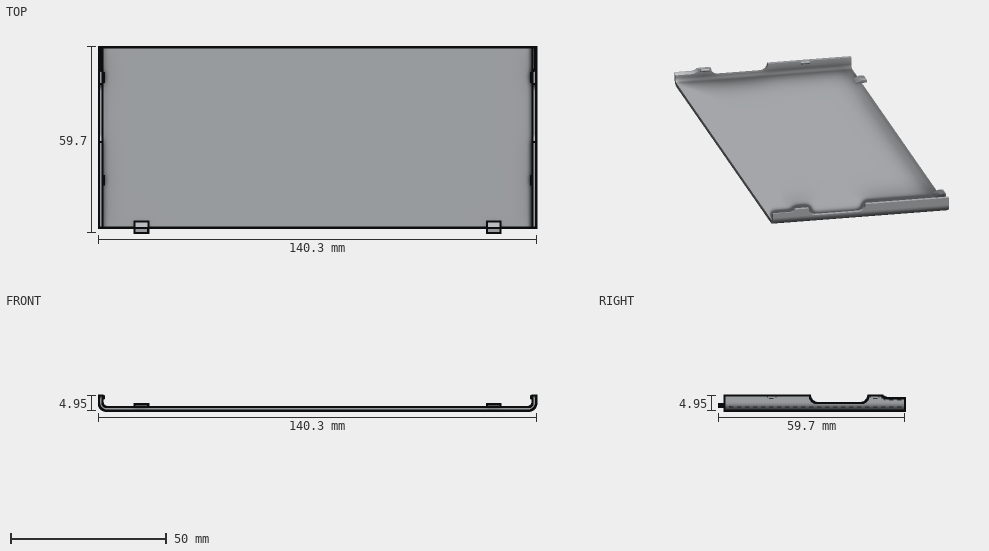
import cadquery as cq
import math

width = 140.34
total_depth = 59.69
wall_height = 4.95
thickness = 1.27
bend_radius = 2.54

tab_reach = 1.69
tab_width = 4.45
tab_height = 0.92
tab_ramp = 2.1
tab_centre_x = 56.5

low_height = 4.1
low_end = 5.5
crest_start = 7.4
crest_end = 11.8
notch_end = 30.5

land_width = 0.5
bevel_drop = 0.7
sweep_angle = math.radians(60)

detent_radius = 0.45
detent_length = 2.8
detent_height = 4.35
detent_setbacks = (9.75, 42.75)

half_width = width / 2
half_depth = total_depth / 2
back_y = half_depth
front_y = tab_reach - half_depth
sheet_depth = back_y - front_y
notch_radius = wall_height - bend_radius


def make_channel():
    """Flat sheet with a wall bent up along each X end."""
    outer = (
        cq.Workplane("XY")
        .box(width, sheet_depth, wall_height, centered=(True, False, False))
        .edges("|Y and <Z")
        .fillet(bend_radius)
    )
    inner = (
        cq.Workplane("XY")
        .workplane(offset=thickness)
        .box(width - 2 * thickness, sheet_depth, wall_height, centered=(True, False, False))
        .edges("|Y and <Z")
        .fillet(bend_radius - thickness)
    )
    return outer.cut(inner).translate((0, front_y, 0))


def make_wall_outline():
    """Side profile shared by both walls, extruded across the full width."""
    arc_inset = notch_radius * (1 - 0.5**0.5)
    crest_y = back_y - crest_end
    notch_y = back_y - notch_end + notch_radius
    return (
        cq.Workplane("YZ")
        .moveTo(front_y, 0)
        .lineTo(back_y, 0)
        .lineTo(back_y, wall_height)
        .lineTo(crest_y, wall_height)
        .threePointArc(
            (crest_y - arc_inset, bend_radius + arc_inset),
            (crest_y - notch_radius, bend_radius),
        )
        .lineTo(notch_y, bend_radius)
        .threePointArc(
            (notch_y - notch_radius + arc_inset, bend_radius + arc_inset),
            (notch_y - notch_radius, wall_height),
        )
        .lineTo(front_y, wall_height)
        .close()
        .extrude(half_width, both=True)
    )


def make_lead_in():
    """Cutter that lowers the back of the left wall and bevels it down to the inner face."""
    low_y = back_y - low_end
    rise = wall_height - low_height
    run = crest_start - low_end
    sweep_radius = (run**2 + rise**2) / (2 * rise)

    def arc_point(angle):
        climb = sweep_radius * (1 - math.cos(angle))
        return low_y - sweep_radius * math.sin(angle), low_height + climb

    arc_end = arc_point(sweep_angle)

    profile = (
        cq.Workplane("YZ", origin=(-half_width, 0, 0))
        .moveTo(back_y, low_height)
        .lineTo(low_y, low_height)
        .threePointArc(arc_point(sweep_angle / 2), arc_end)
        .lineTo(back_y, arc_end[1])
        .close()
    )
    wire = profile.val()
    land = cq.Solid.extrudeLinear(wire, [], cq.Vector(thickness, 0, 0))
    bevel_wire = wire.translate(cq.Vector(land_width, 0, 0))
    bevel = cq.Solid.extrudeLinear(bevel_wire, [], cq.Vector(thickness - land_width, 0, -bevel_drop))
    return cq.Workplane(land).union(cq.Workplane(bevel))


def make_tab(centre_x):
    """Hook that ramps up from the floor and reaches past the front edge."""
    return (
        cq.Workplane("YZ")
        .moveTo(front_y + tab_ramp, thickness)
        .lineTo(front_y, thickness + tab_height)
        .lineTo(-half_depth, thickness + tab_height)
        .lineTo(-half_depth, thickness)
        .close()
        .extrude(tab_width / 2, both=True)
        .translate((centre_x, 0, 0))
    )


def make_detent(side, setback):
    """Small rounded ridge along Y on the inner face of one wall."""
    return (
        cq.Workplane("XZ")
        .circle(detent_radius)
        .extrude(detent_length / 2, both=True)
        .translate((side * (half_width - thickness), back_y - setback, detent_height))
    )


result = make_channel().intersect(make_wall_outline())
lead_in = make_lead_in()
result = result.cut(lead_in).cut(lead_in.mirror("YZ"))
for side in (-1, 1):
    result = result.union(make_tab(side * tab_centre_x))
    for setback in detent_setbacks:
        result = result.union(make_detent(side, setback))